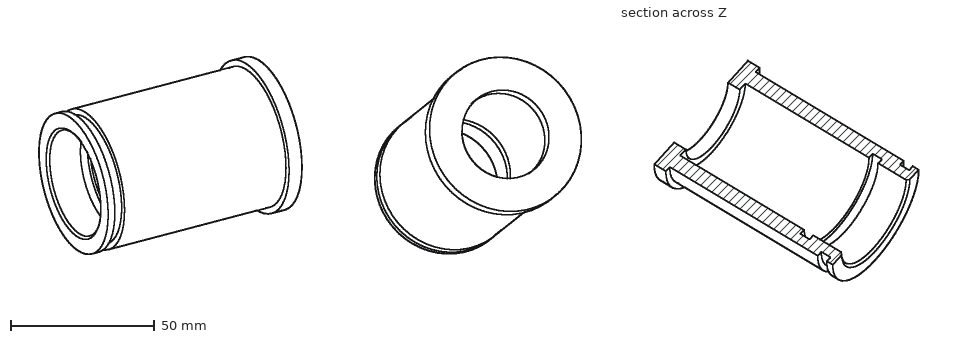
import cadquery as cq

length = 75.85

flange_radius = 27.7
flange_width = 5.15
body_radius = 25.4
outer_groove_radius = 23.3
outer_groove_start = 2.65
groove_width = 3.9

bore_radius = 19.1
entry_chamfer = 0.9
inner_groove_radius = 21.25
inner_groove_start = 13.1
lip_radius = 15.85
lip_width = flange_width

front = -length / 2
back = length / 2


def disc(radius, start, width):
    """Solid disc about the Y axis, from Y = start towards +Y."""
    return cq.Workplane("XZ", origin=(0, start, 0)).circle(radius).extrude(-width)


def groove_cutter(inner_radius, outer_radius, start, width):
    """Annular solid about the Y axis used to cut a square groove."""
    return disc(outer_radius, start, width).cut(disc(inner_radius, start, width))


sleeve = disc(body_radius, front, length)
sleeve = sleeve.union(disc(flange_radius, back - flange_width, flange_width))

sleeve = sleeve.cut(disc(bore_radius, front, length - lip_width))
sleeve = sleeve.cut(disc(lip_radius, front, length))

entry_radius = bore_radius + entry_chamfer
entry_section = [
    (0, front),
    (entry_radius, front),
    (bore_radius, front + entry_chamfer),
    (0, front + entry_chamfer),
]
entry_cone = cq.Workplane("XY").polyline(entry_section).close().revolve(360, (0, 0, 0), (0, 1, 0))
sleeve = sleeve.cut(entry_cone)

sleeve = sleeve.cut(
    groove_cutter(outer_groove_radius, flange_radius, front + outer_groove_start, groove_width)
)
sleeve = sleeve.cut(disc(inner_groove_radius, front + inner_groove_start, groove_width))

result = sleeve